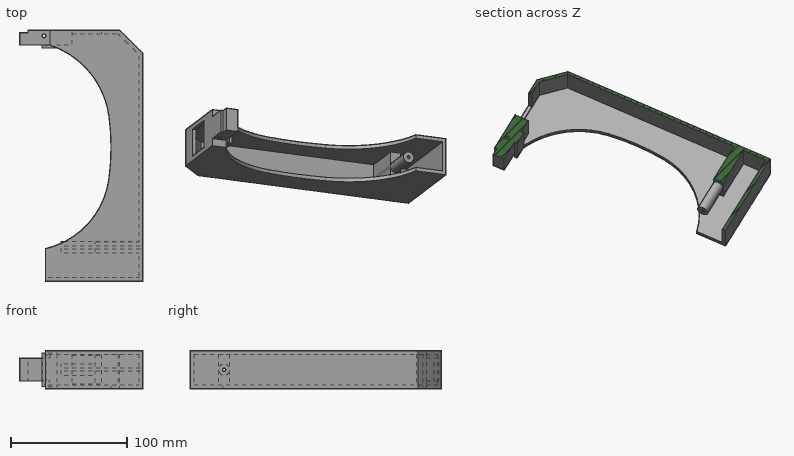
import cadquery as cq
import math

width = 106.0
length = 216.5
height = 33.0
wall = 3.2
inner_height = height - 2 * wall
corner_chamfer = 20.0

lower_end_x = 22.0
lower_end_y = 28.1
upper_end_x = 26.2
upper_end_y = 203.5
throat_x = 78.5
throat_y = 115.5
flat_arc_x = 76.8
flat_arc_half = 26.6
side_arc_x = 60.0
lower_mid_y = 50.9
upper_mid_y = 180.5

end_block_right = 45.2
tongue_height = 20.0
tongue_shoulder_x = 7.0
tongue_step = 2.2
pin_hole_diameter = 3.0
pin_hole_x = 21.0
pin_hole_y = 211.5

plate_left = 19.0
plate_right = 32.2
plate_thickness = 2.5
plate_height = 29.0
screw_hole_diameter = 1.7
screw_inset_x = 3.7
screw_inset_z = 1.7

window_right = 70.5
sill = 1.0

rib_front = 65.0
rib_width = 9.5
boss_front = 35.5
boss_diameter = 9.7
boss_y = 29.2
boss_bore = 2.5


def box(x0, x1, y0, y1, box_height):
    """Box between two corners, centred on mid height."""
    return (
        cq.Workplane("XY")
        .box(x1 - x0, y1 - y0, box_height, centered=(False, False, True))
        .translate((x0, y0, 0))
    )


def x_cylinder(x0, x1, diameter):
    """Cylinder along X on the boss axis."""
    return (
        cq.Workplane("YZ", origin=(x0, boss_y, 0))
        .circle(diameter / 2)
        .extrude(x1 - x0)
    )


def throat_outline():
    """C-shaped outline with a throat of three arcs."""
    return (
        cq.Workplane("XY", origin=(0, 0, -height / 2))
        .moveTo(lower_end_x, 0)
        .lineTo(width, 0)
        .lineTo(width, length - corner_chamfer)
        .lineTo(width - corner_chamfer, length)
        .lineTo(upper_end_x, length)
        .lineTo(upper_end_x, upper_end_y)
        .threePointArc((side_arc_x, upper_mid_y), (flat_arc_x, throat_y + flat_arc_half))
        .threePointArc((throat_x, throat_y), (flat_arc_x, throat_y - flat_arc_half))
        .threePointArc((side_arc_x, lower_mid_y), (lower_end_x, lower_end_y))
        .close()
    )


def shell():
    """Hollow C body, open along the throat and at its lower left end."""
    inner_chamfer = corner_chamfer - wall * (2 - math.sqrt(2))
    cavity = (
        box(0, width - wall, wall, length - wall, inner_height)
        .edges("|Z and >X and >Y")
        .chamfer(inner_chamfer)
    )
    return throat_outline().extrude(height).cut(cavity)


def window():
    """Opening through the +Y wall beside the end block."""
    return box(end_block_right, window_right, length - wall, length, inner_height - 2 * sill)


def end_block():
    """Block closing the upper end, with the stepped tongue and its pin hole."""
    block = box(upper_end_x, end_block_right, upper_end_y, length, height)
    tongue = box(0, upper_end_x, upper_end_y, length, tongue_height)
    step = box(0, tongue_shoulder_x, length - tongue_step, length, tongue_height)
    pin_hole = (
        cq.Workplane("XY", origin=(pin_hole_x, pin_hole_y, -tongue_height / 2))
        .circle(pin_hole_diameter / 2)
        .extrude(tongue_height)
    )
    return block.union(tongue).cut(step).cut(pin_hole)


def cover_plate():
    """Thin plate on the end block with two screw holes along its free edge."""
    plate = box(plate_left, plate_right, upper_end_y - plate_thickness, upper_end_y, plate_height)
    row_offset = plate_height / 2 - screw_inset_z
    for level in (-1, 1):
        screw_hole = (
            cq.Workplane("XZ", origin=(plate_left + screw_inset_x, upper_end_y, level * row_offset))
            .circle(screw_hole_diameter / 2)
            .extrude(plate_thickness)
        )
        plate = plate.cut(screw_hole)
    return plate


def rib_with_boss():
    """Upright rib on the +X wall carrying a round boss."""
    rib = box(rib_front, width - wall, boss_y - rib_width / 2, boss_y + rib_width / 2, inner_height)
    boss = x_cylinder(boss_front, width - wall, boss_diameter)
    return rib.union(boss)


result = (
    shell()
    .cut(window())
    .union(end_block())
    .union(cover_plate())
    .union(rib_with_boss())
    .cut(x_cylinder(0, width, boss_bore))
)